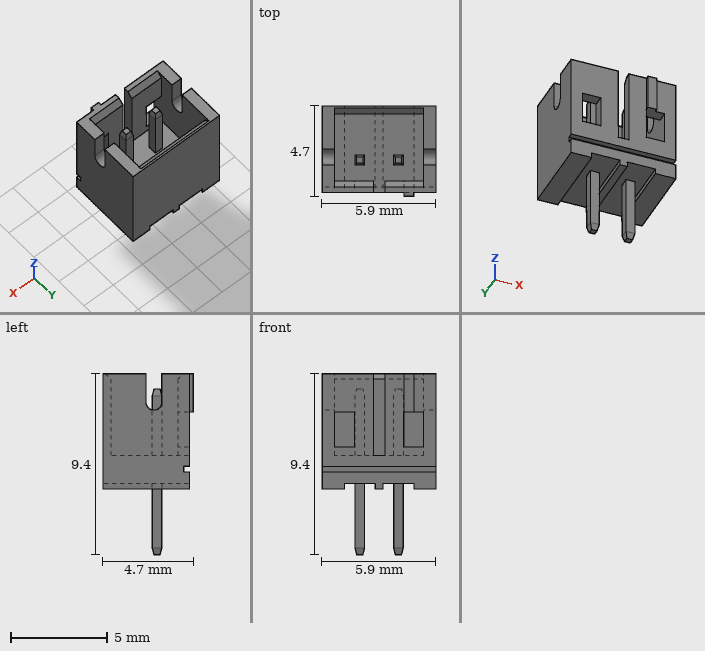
import cadquery as cq

overall_height = 9.4

width = 5.9
depth = 4.5
height = 6.0
floor_top = 1.75
side_wall = 0.64
front_wall = 0.6
back_wall = 0.41
cavity_width = width - 2 * side_wall

front_bevel = 0.32
back_bevel = 0.3
bevel_height = 0.28

key_slot_width = 0.6
window_width = 1.02
window_bottom = 2.2
window_top = 3.995
window_inner = cavity_width / 2 - window_width

rib_width = 0.51
rib_projection = 0.2

groove_bottom = 0.89
groove_height = 0.29
groove_depth = 0.3

side_slot_width = 0.81
side_slot_depth = 1.9
side_slot_y = 1.85

standoff = 0.29
outer_foot_width = 1.16
center_foot_width = 0.41
underside_gap = (width - center_foot_width) / 2 - outer_foot_width

pin_pitch = 2.0
pin_y = 1.69
pin_size = 0.51
pin_tip_size = 0.32
pin_tip_length = 0.36
pin_bottom = height - overall_height
pin_top = 5.2


def block(x, y, z, size_x, size_y, size_z):
    """Box centred on x, starting at y and z."""
    solid = cq.Workplane("XY").box(size_x, size_y, size_z, centered=(True, False, False))
    return solid.translate((x, y, z))


def cavity():
    """Open-topped cavity whose front and back rims are beveled."""
    front = front_wall
    back = depth - back_wall
    bevel_bottom = height - bevel_height
    profile = [
        (front, floor_top),
        (back, floor_top),
        (back, bevel_bottom),
        (back + back_bevel, height),
        (front - front_bevel, height),
        (front, bevel_bottom),
    ]
    return cq.Workplane("YZ").polyline(profile).close().extrude(cavity_width / 2, both=True)


def side_slots():
    """Round-bottomed slot through both side walls."""
    radius = side_slot_width / 2
    slot_bottom = height - side_slot_depth
    arc_center_z = slot_bottom + radius
    return (
        cq.Workplane("YZ")
        .moveTo(side_slot_y - radius, height)
        .lineTo(side_slot_y - radius, arc_center_z)
        .threePointArc((side_slot_y, slot_bottom), (side_slot_y + radius, arc_center_z))
        .lineTo(side_slot_y + radius, height)
        .close()
        .extrude(width / 2, both=True)
    )


def pin(x):
    """Square pin with a tapered tip at each end."""
    shank_bottom = pin_bottom + pin_tip_length
    shank_top = pin_top - pin_tip_length
    shank = block(x, pin_y - pin_size / 2, shank_bottom, pin_size, pin_size, shank_top - shank_bottom)
    for base, end in ((shank_bottom, pin_bottom), (shank_top, pin_top)):
        tip = (
            cq.Workplane("XY", origin=(x, pin_y, base))
            .rect(pin_size, pin_size)
            .workplane(offset=end - base)
            .rect(pin_tip_size, pin_tip_size)
            .loft()
        )
        shank = shank.union(tip)
    return shank


housing = block(0, 0, 0, width, depth, height)
housing = housing.cut(cavity()).cut(side_slots())
housing = housing.cut(block(0, 0, floor_top, key_slot_width, front_wall, height - floor_top))
housing = housing.cut(block(0, 0, groove_bottom, width, groove_depth, groove_height))

window_height = window_top - window_bottom
for side in (-1, 1):
    window_x = side * (window_inner + window_width / 2)
    housing = housing.cut(block(window_x, 0, window_bottom, window_width, front_wall, window_height))
    gap_x = side * (center_foot_width + underside_gap) / 2
    housing = housing.cut(block(gap_x, 0, 0, underside_gap, depth, standoff))

rib_x = window_inner + rib_width / 2
rib_height = height - window_top
housing = housing.union(block(rib_x, -rib_projection, window_top, rib_width, rib_projection, rib_height))

result = housing.union(pin(-pin_pitch / 2)).union(pin(pin_pitch / 2))
result = result.translate((0, -depth / 2, 0))